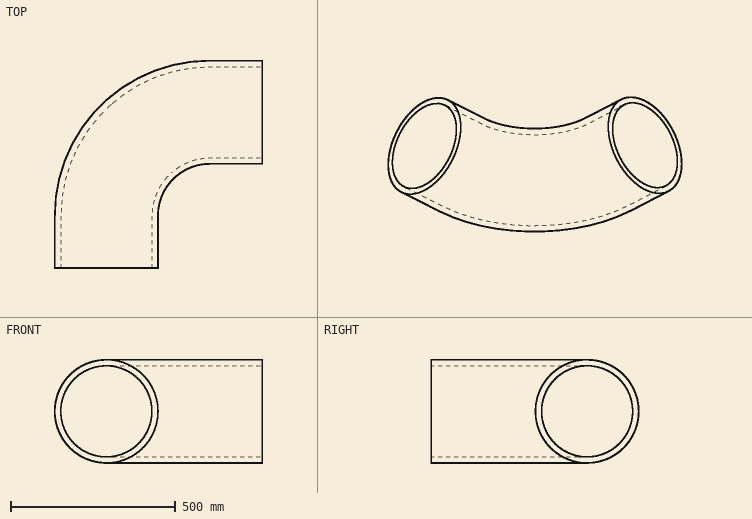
import cadquery as cq

outer_diameter = 315.0
wall_thickness = 18.7
bend_radius = 315.0
spigot_length = 160.0
bend_angle = 90.0

outer_radius = outer_diameter / 2
inner_radius = outer_radius - wall_thickness


def pipe_ring(plane):
    """Annular pipe section centred on the origin of the given plane."""
    return cq.Workplane(plane).circle(outer_radius).circle(inner_radius)


inlet_plane = cq.Plane(origin=(0, 0, 0), xDir=(1, 0, 0), normal=(0, -1, 0))
outlet_plane = cq.Plane(origin=(bend_radius, bend_radius, 0), xDir=(0, 1, 0), normal=(1, 0, 0))

bend = pipe_ring(inlet_plane).revolve(bend_angle, (bend_radius, 0, 0), (bend_radius, -1, 0))
inlet_spigot = pipe_ring(inlet_plane).extrude(spigot_length)
outlet_spigot = pipe_ring(outlet_plane).extrude(spigot_length)

result = bend.union(inlet_spigot).union(outlet_spigot)